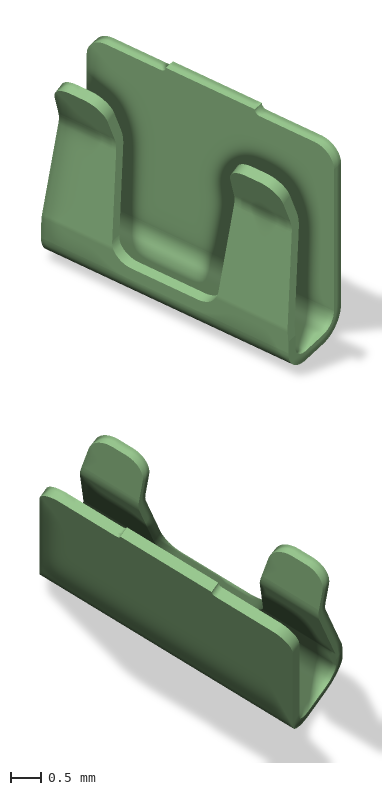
import cadquery as cq
import math

width = 5.0
depth = 1.5
height = 4.1
thickness = 0.2
fold_radius = 0.5

shoulder_height = 4.0
plate_corner_radius = 0.4
tab_half_width = 0.9
tab_relief_radius = height - shoulder_height

root_bend_height = 0.955
root_bend_radius = 0.45
contact_bend_radius = 0.5
lean_angle = math.radians(9)
flare_angle = math.radians(18)
lean_length = 1.865
tip_length = 0.88
tip_corner_radius = 0.4

taper_angle = math.radians(3.8)
taper_start_height = 0.75
slot_half_width = 1.05
slot_corner_radius = 0.4

root_centre = (root_bend_radius, root_bend_height)
bend_spacing = root_bend_radius + contact_bend_radius
contact_centre = (
    root_centre[0] - bend_spacing * math.cos(lean_angle) + lean_length * math.sin(lean_angle),
    root_centre[1] + bend_spacing * math.sin(lean_angle) + lean_length * math.cos(lean_angle),
)


def point_on_circle(centre, radius, angle):
    return (centre[0] + radius * math.cos(angle), centre[1] + radius * math.sin(angle))


def arm_face(inset):
    """(Y, Z) points from root to tip on the arm face lying `inset` behind the front face."""
    root_radius = root_bend_radius - inset
    contact_radius = contact_bend_radius + inset
    root = [
        point_on_circle(root_centre, root_radius, math.pi - turn)
        for turn in (0, lean_angle / 2, lean_angle)
    ]
    contact = [
        point_on_circle(contact_centre, contact_radius, angle)
        for angle in (-lean_angle, (flare_angle - lean_angle) / 2, flare_angle)
    ]
    tip = point_on_circle(contact[2], tip_length, flare_angle + math.pi / 2)
    return root, contact, tip


def bent_strip():
    """Full-width bent sheet with square corners."""
    outer_root, outer_contact, outer_tip = arm_face(0)
    inner_root, inner_contact, inner_tip = arm_face(thickness)
    inner_fold = fold_radius - thickness
    profile = (
        cq.Workplane("YZ", origin=(-width / 2, 0, 0))
        .moveTo(fold_radius, 0)
        .lineTo(depth - fold_radius, 0)
        .radiusArc((depth, fold_radius), -fold_radius)
        .lineTo(depth, height)
        .lineTo(depth - thickness, height)
        .lineTo(depth - thickness, fold_radius)
        .radiusArc((depth - fold_radius, thickness), inner_fold)
        .lineTo(fold_radius, thickness)
        .radiusArc((thickness, fold_radius), inner_fold)
        .lineTo(*inner_root[0])
        .threePointArc(inner_root[1], inner_root[2])
        .lineTo(*inner_contact[0])
        .threePointArc(inner_contact[1], inner_contact[2])
        .lineTo(*inner_tip)
        .lineTo(*outer_tip)
        .lineTo(*outer_contact[2])
        .threePointArc(outer_contact[1], outer_contact[0])
        .lineTo(*outer_root[2])
        .threePointArc(outer_root[1], outer_root[0])
        .lineTo(0, fold_radius)
        .radiusArc((fold_radius, 0), -fold_radius)
        .close()
    )
    return profile.extrude(width)


def arm_clearance():
    """Material removed from the front half: the middle slot and the two outer tapers."""
    cut_depth = depth / 2
    rise = height - taper_start_height
    shift = rise * math.tan(taper_angle)
    front = cq.Workplane("XZ")
    slot = (
        front.polyline([
            (-slot_half_width, taper_start_height),
            (slot_half_width, taper_start_height),
            (slot_half_width + shift, height),
            (-slot_half_width - shift, height),
        ])
        .close()
        .extrude(-cut_depth)
        .edges("|Y and <Z")
        .fillet(slot_corner_radius)
    )
    for side in (-1, 1):
        edge = side * width / 2
        wedge = (
            front.polyline([
                (edge, taper_start_height),
                (edge, height),
                (edge - side * shift, height),
            ])
            .close()
            .extrude(-cut_depth)
        )
        slot = slot.union(wedge)
    return slot


def plate_clearance():
    """Material removed beside the tab along the top of the back plate."""
    cut = None
    for side in (-1, 1):
        foot = side * (tab_half_width + tab_relief_radius)
        strip = (
            cq.Workplane("XZ", origin=(0, depth / 2, 0))
            .moveTo(side * tab_half_width, height)
            .radiusArc((foot, shoulder_height), -side * tab_relief_radius)
            .lineTo(side * width / 2, shoulder_height)
            .lineTo(side * width / 2, height)
            .close()
            .extrude(-depth / 2)
        )
        cut = strip if cut is None else cut.union(strip)
    return cut


def round_arm_tips(clip):
    """Round both corners of each arm tip, through the sheet thickness."""
    tip_front = arm_face(0)[2]
    tip_back = arm_face(thickness)[2]
    margin = 0.005
    tip_zone = cq.selectors.BoxSelector(
        (-width, tip_front[0] - margin, tip_front[1] - margin),
        (width, tip_back[0] + margin, tip_back[1] + margin),
    )
    tip_edges = clip.edges(tip_zone).vals()
    corners = [edge for edge in tip_edges if edge.Length() < 2 * thickness]
    return clip.newObject(corners).fillet(tip_corner_radius)


def round_plate_corners(clip):
    """Round the two upper outer corners of the back plate."""
    margin = 0.005
    plate_corners = cq.selectors.BoxSelector(
        (-width, depth - thickness, shoulder_height - margin),
        (width, depth, shoulder_height + margin),
    )
    return clip.edges("|Y").edges(plate_corners).edges("<X or >X").fillet(plate_corner_radius)


clip = bent_strip().cut(arm_clearance()).cut(plate_clearance())
clip = round_plate_corners(clip)
result = round_arm_tips(clip)